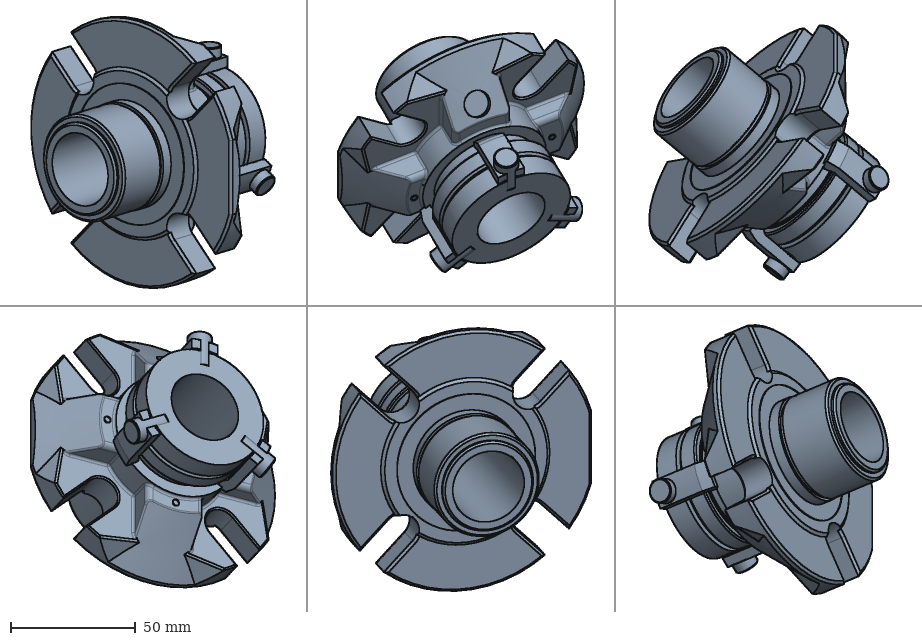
import cadquery as cq
import math

BORE_DIA = 30.0

TIP_DIA = 38.1
TIP_LENGTH = 1.8
SLEEVE_DIA = 44.0
SLEEVE_CHAMFER = 0.9
GROOVE_DIA = 42.1
GROOVE_AT = 23.4
GROOVE_WIDTH = 1.7
COLLAR_DIA = 44.6
DISC_DIA = 58.1
DISC_AT = 29.7

BOSS_DIA = 71.0
BOSS_AT = 30.0
BOSS_CHAMFER = 1.3
FLANGE_RADIUS = 55.4
FLANGE_AT = 31.2
FLANGE_CHAMFER = 1.1
BACK_CHAMFER = 0.7
RIM_END = 34.3
FLANGE_END = 43.9
FLAT_X = 53.2
SLOT_WIDTH = 14.3
SLOT_CENTRE_RADIUS = 37.9
LOBE_CHORD = 68.7
LOBE_COUNT = 4
LOBE_STEP = 360 / LOBE_COUNT

FLANK_X = 19.4
FLANK_AZIMUTH = 9.0
FLANK_ELEVATION = 29.5

HUB_RADIUS = 27.4
HUB_END = 57.1
RIB_WIDTH = 25.5
RIB_END = 55.8
SHORT_RIB_END = 52.5
RIB_CORNER_RADIUS = 2.5
RIB_EDGE_RADIUS = 0.9
ROOT_RADIUS = 1.1
PAD_DIA = 2.8
PAD_HEIGHT = 0.4
DRILL_DIA = 11.0
DRILL_DEPTH = 2.7
DRILL_AT = 50.7

SHAFT_DIA = 44.6
RING_DIA = 52.5
STEP_DIA = 46.6
STEP_AT = 62.5
MIDDLE_RING_AT = 63.1
MIDDLE_RING_END = 71.2
MIDDLE_RING_FRONT_CHAMFER = 0.7
MIDDLE_RING_BACK_CHAMFER = 1.0
NECK_DIA = 39.8
END_RING_AT = 72.5
END_RING_END = 81.9

CLIP_WIDTH = 11.6
CLIP_RADIUS = 31.3
CLIP_INNER_RADIUS = 26.9
CLIP_TIP_WIDTH = 9.5
CLIP_BEND_AT = 62.8
LONG_CLIP_BEND_RADIUS = 2.4
LONG_CLIP_TIP_RADIUS = 24.3
LONG_CLIP_TIP_AT = 58.4
LONG_CLIP_TIP_GAP = 0.5
FOOT_BEND_AT = 61.5
FOOT_AT = 56.2
FOOT_OUTER_RADIUS = 29.7
FOOT_RADIUS = 25.3
FOOT_STEP_AT = 57.8
FOOT_TOE_RADIUS = 24.8
FOOT_TOE_AT = 58.7
PIN_DIA = 10.0
PIN_TOP_RADIUS = 35.5
PIN_AT = 77.3
PIN_CHAMFER = 0.4

CLEAR = 110.9
OVERLAP = 2.2
TOLERANCE = 0.001


def revolved(profile):
    """Solid of revolution about Y from (radius, position) points."""
    return cq.Workplane("XY").polyline(profile).close().revolve(360, (0, 0), (0, 1))


def disc(radius, start, end):
    return cq.Workplane("XZ", origin=(0, start, 0)).circle(radius).extrude(start - end)


def turned(body, degrees):
    return body.rotate((0, 0, 0), (0, 1, 0), degrees)


def lies_on_radius(edge, radius):
    """True if the whole edge keeps the given distance from the Y axis."""
    points = [edge.positionAt(part) for part in (0, 0.3, 0.6, 1)]
    return all(abs(math.hypot(p.x, p.z) - radius) < TOLERANCE for p in points)


def lies_at(edge, position):
    """True if the whole edge is at the given position along Y."""
    box = edge.BoundingBox()
    return max(abs(box.ymin - position), abs(box.ymax - position)) < TOLERANCE


def sleeve():
    groove = disc(GROOVE_DIA / 2, GROOVE_AT, GROOVE_AT + GROOVE_WIDTH)
    tip = disc(TIP_DIA / 2, 0, TIP_LENGTH).faces("<Y").chamfer(SLEEVE_CHAMFER)
    barrel = disc(SLEEVE_DIA / 2, TIP_LENGTH, GROOVE_AT).faces("<Y").chamfer(SLEEVE_CHAMFER)
    collar = disc(COLLAR_DIA / 2, GROOVE_AT + GROOVE_WIDTH, DISC_AT)
    return tip.union(barrel).union(groove).union(collar)


def cone_radius(position):
    """Radius of the 45 degree back cone at a position along Y."""
    return FLANGE_RADIUS - (position - RIM_END)


def back_cone(end):
    """45 degree cone that falls from the rim towards the hub, with a straight part in front."""
    section = [
        (0, FLANGE_AT),
        (FLANGE_RADIUS, FLANGE_AT),
        (FLANGE_RADIUS, RIM_END),
        (cone_radius(end), end),
        (0, end),
    ]
    return revolved(section)


def slots():
    depth = FLANGE_END - BOSS_AT
    slot = cq.Workplane("XY").box(SLOT_WIDTH, depth, CLEAR, centered=(True, False, False))
    slot = slot.union(disc(SLOT_WIDTH / 2, 0, depth))
    slot = slot.translate((0, BOSS_AT, SLOT_CENTRE_RADIUS))
    body = cq.Workplane("XY")
    for i in range(LOBE_COUNT):
        body = body.add(turned(slot, (i + 0.5) * LOBE_STEP))
    return body.combine()


def lobe_back_cut():
    """Tool body that takes the back off the top lobe down to the cone and the two flank faces."""
    depth = FLANGE_END - RIM_END
    cut = cq.Workplane("XY").box(LOBE_CHORD, depth, CLEAR, centered=(True, False, False))
    cut = cut.translate((0, RIM_END, FLANGE_RADIUS / 2)).cut(back_cone(FLANGE_END))
    azimuth = math.radians(FLANK_AZIMUTH)
    elevation = math.radians(FLANK_ELEVATION)
    flank_z = math.sqrt(FLANGE_RADIUS**2 - FLANK_X**2)
    for side in (-1, 1):
        normal = (
            -side * math.sin(azimuth) * math.cos(elevation),
            math.sin(elevation),
            math.cos(azimuth) * math.cos(elevation),
        )
        tip = (side * FLANK_X, RIM_END, flank_z)
        flank = cq.Plane(origin=tip, xDir=(0, normal[2], -normal[1]), normal=normal)
        cut = cut.cut(cq.Workplane(flank).rect(2 * CLEAR, 2 * CLEAR).extrude(-CLEAR))
    return cut


def flange():
    plate = disc(FLANGE_RADIUS, FLANGE_AT, FLANGE_END)
    beyond_flat = cq.Workplane("XY").box(CLEAR, CLEAR, CLEAR, centered=(False, False, True))
    plate = plate.cut(beyond_flat.translate((FLAT_X, 0, 0)))
    plate = plate.cut(slots()).faces("<Y").chamfer(FLANGE_CHAMFER)
    for i in range(LOBE_COUNT):
        plate = plate.cut(turned(lobe_back_cut(), i * LOBE_STEP))
    back_edges = [
        edge
        for edge in plate.faces(">Y").edges().vals()
        if not lies_on_radius(edge, cone_radius(FLANGE_END))
    ]
    plate = plate.newObject(back_edges).chamfer(BACK_CHAMFER)
    boss = disc(BOSS_DIA / 2, BOSS_AT, FLANGE_AT + FLANGE_CHAMFER)
    boss = boss.faces("<Y").chamfer(FLANGE_AT - BOSS_AT, BOSS_CHAMFER).cut(slots())
    return plate.union(boss).union(disc(DISC_DIA / 2, DISC_AT, FLANGE_END))


def rib(end):
    """Rib above the hub, with rounded corners, trimmed by the back cone."""
    body = cq.Workplane("XY").box(RIB_WIDTH, end - RIM_END, FLANGE_RADIUS, centered=(True, False, False))
    body = body.translate((0, RIM_END, 0)).edges("|Z and >Y").fillet(RIB_CORNER_RADIUS)
    body = body.intersect(back_cone(end))
    cone_face = body.faces(cq.selectors.TypeSelector("CONE"))
    top_edges = [edge for edge in cone_face.edges().vals() if edge.Center().y > RIM_END + TOLERANCE]
    body = body.newObject(top_edges).fillet(RIB_EDGE_RADIUS)
    return body.cut(disc(CLEAR, 0, FLANGE_END - OVERLAP))


def drilled_hole():
    mouth = (0, DRILL_AT, cone_radius(DRILL_AT))
    face = cq.Plane(origin=mouth, xDir=(1, 0, 0), normal=(0, 1, 1))
    return cq.Workplane(face).workplane(offset=-DRILL_DEPTH).circle(DRILL_DIA / 2).extrude(2 * DRILL_DEPTH)


def pad(rib_end):
    """Small round pad in the middle of a rib's end face."""
    body = disc(PAD_DIA / 2, rib_end - OVERLAP, rib_end + PAD_HEIGHT)
    return body.translate((0, 0, (HUB_RADIUS + cone_radius(rib_end)) / 2))


def is_root(edge):
    """True for the inner corners where a rib meets the hub or the back of the plate."""
    if lies_on_radius(edge, HUB_RADIUS):
        return not lies_at(edge, HUB_END)
    middle = edge.positionAt(0.5)
    side_gaps = [abs(abs(offset) - RIB_WIDTH / 2) for offset in (middle.x, middle.z)]
    beside_rib = min(side_gaps) < TOLERANCE
    inside_cone = math.hypot(middle.x, middle.z) < cone_radius(FLANGE_END)
    return lies_at(edge, FLANGE_END) and beside_rib and inside_cone


def flanged_hub():
    body = flange().union(disc(HUB_RADIUS, FLANGE_END - OVERLAP, HUB_END))
    rib_ends = [RIB_END, RIB_END, RIB_END, SHORT_RIB_END]
    for i, end in enumerate(rib_ends):
        body = body.union(turned(rib(end), i * LOBE_STEP))
    roots = [edge for edge in body.edges().vals() if is_root(edge)]
    body = body.newObject(roots).fillet(ROOT_RADIUS)
    for i, end in enumerate(rib_ends[1:], start=1):
        body = body.union(turned(pad(end), i * LOBE_STEP))
    return body.cut(drilled_hole())


def seal_end():
    shaft = disc(SHAFT_DIA / 2, HUB_END, STEP_AT)
    step = disc(STEP_DIA / 2, STEP_AT, MIDDLE_RING_AT)
    middle_ring = disc(RING_DIA / 2, MIDDLE_RING_AT, MIDDLE_RING_END)
    middle_ring = middle_ring.faces("<Y").chamfer(MIDDLE_RING_FRONT_CHAMFER)
    middle_ring = middle_ring.faces(">Y").chamfer(MIDDLE_RING_BACK_CHAMFER)
    neck = disc(NECK_DIA / 2, MIDDLE_RING_END, END_RING_AT)
    end_ring = disc(RING_DIA / 2, END_RING_AT, END_RING_END)
    return shaft.union(step).union(middle_ring).union(neck).union(end_ring)


def clip(profile, tip_width):
    """Bent strip with the given (radius, position) section, narrowing from the bend to the tip."""
    half = CLIP_WIDTH / 2
    tip_half = tip_width / 2
    plan = [
        (-half, END_RING_END),
        (half, END_RING_END),
        (half, CLIP_BEND_AT),
        (tip_half, HUB_END),
        (tip_half, 0),
        (-tip_half, 0),
        (-tip_half, HUB_END),
        (-half, CLIP_BEND_AT),
    ]
    outline = cq.Workplane("XY").polyline(plan).close().extrude(CLEAR)
    return revolved(profile).intersect(outline)


def pin():
    body = cq.Workplane("XY", origin=(0, PIN_AT, 0)).circle(PIN_DIA / 2).extrude(PIN_TOP_RADIUS)
    body = body.faces(">Z").chamfer(PIN_CHAMFER)
    return body.cut(disc(NECK_DIA / 2, 0, CLEAR))


def long_clip():
    """Clip that bends in to the corner between shaft and hub."""
    section = [
        (CLIP_INNER_RADIUS, END_RING_END),
        (CLIP_RADIUS, END_RING_END),
        (CLIP_RADIUS, CLIP_BEND_AT),
        (LONG_CLIP_TIP_RADIUS, HUB_END),
        (SHAFT_DIA / 2 + LONG_CLIP_TIP_GAP, LONG_CLIP_TIP_AT),
        (CLIP_INNER_RADIUS, CLIP_BEND_AT),
    ]
    body = clip(section, CLIP_TIP_WIDTH)
    bend = [
        edge
        for edge in body.edges().vals()
        if lies_at(edge, CLIP_BEND_AT) and lies_on_radius(edge, CLIP_RADIUS)
    ]
    return body.newObject(bend).fillet(LONG_CLIP_BEND_RADIUS)


def short_clip():
    """Clip with a thick foot that grips the back edge of the hub."""
    section = [
        (CLIP_INNER_RADIUS, END_RING_END),
        (CLIP_RADIUS, END_RING_END),
        (CLIP_RADIUS, FOOT_BEND_AT),
        (FOOT_OUTER_RADIUS, FOOT_AT),
        (FOOT_RADIUS, FOOT_AT),
        (FOOT_RADIUS, FOOT_STEP_AT),
        (FOOT_TOE_RADIUS, FOOT_TOE_AT),
        (CLIP_INNER_RADIUS, CLIP_BEND_AT),
    ]
    return clip(section, CLIP_WIDTH)


result = sleeve().union(flanged_hub()).union(seal_end())
for angle, strip in ((0, long_clip()), (120, short_clip()), (240, short_clip())):
    result = result.union(turned(strip.union(pin()), angle))
result = result.cut(disc(BORE_DIA / 2, -CLEAR, CLEAR))